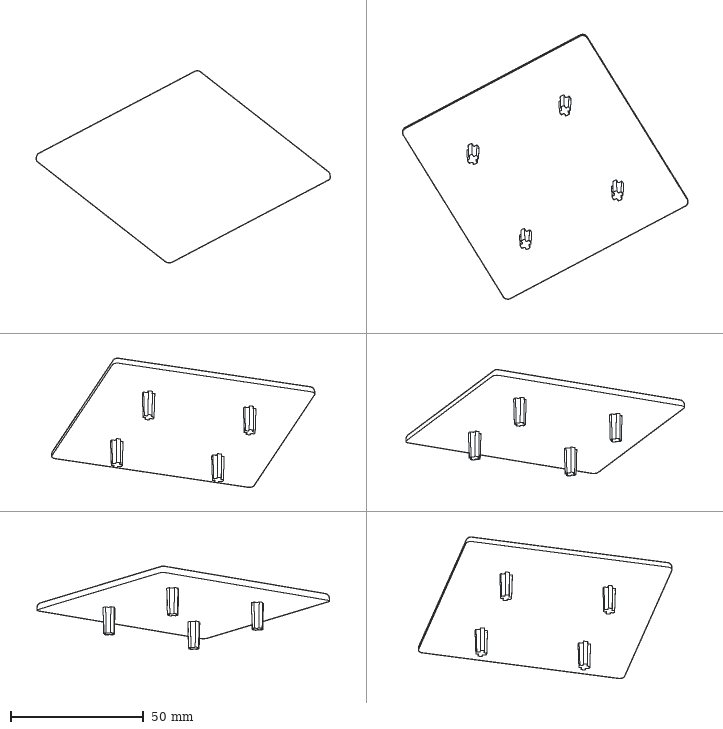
import cadquery as cq

plate_side = 80.0
plate_thickness = 3.0
edge_radius = 2.0

peg_length = 10.0
peg_root_diameter = 4.7
peg_tip_diameter = 4.2
fin_thickness = 1.6
inner_corner_radius = 0.3
peg_spacing = plate_side / 2


def make_plate():
    """Square plate with rounded corners and a rounded upper rim; underside at Z = 0."""
    plate = cq.Workplane("XY").rect(plate_side, plate_side).extrude(plate_thickness)
    return plate.edges("|Z").fillet(edge_radius).faces(">Z").edges().fillet(edge_radius)


def make_peg():
    """Downward cone trimmed to four fins, with filleted corners between the fins."""
    cone = cq.Workplane(
        cq.Solid.makeCone(
            peg_root_diameter / 2,
            peg_tip_diameter / 2,
            peg_length,
            dir=cq.Vector(0, 0, -1),
        )
    )
    fin_blank_length = 2 * peg_root_diameter
    fin_along_x = cq.Workplane("XY").rect(fin_blank_length, fin_thickness).extrude(-peg_length)
    fin_along_y = cq.Workplane("XY").rect(fin_thickness, fin_blank_length).extrude(-peg_length)
    cross = fin_along_x.union(fin_along_y)
    inner_corners = cq.selectors.BoxSelector(
        (-fin_thickness, -fin_thickness, -peg_length),
        (fin_thickness, fin_thickness, 0),
    )
    cross = cross.edges("|Z").edges(inner_corners).fillet(inner_corner_radius)
    return cone.intersect(cross)


result = make_plate()
peg = make_peg()
for peg_x in (-peg_spacing / 2, peg_spacing / 2):
    for peg_y in (-peg_spacing / 2, peg_spacing / 2):
        result = result.union(peg.translate((peg_x, peg_y, 0)))